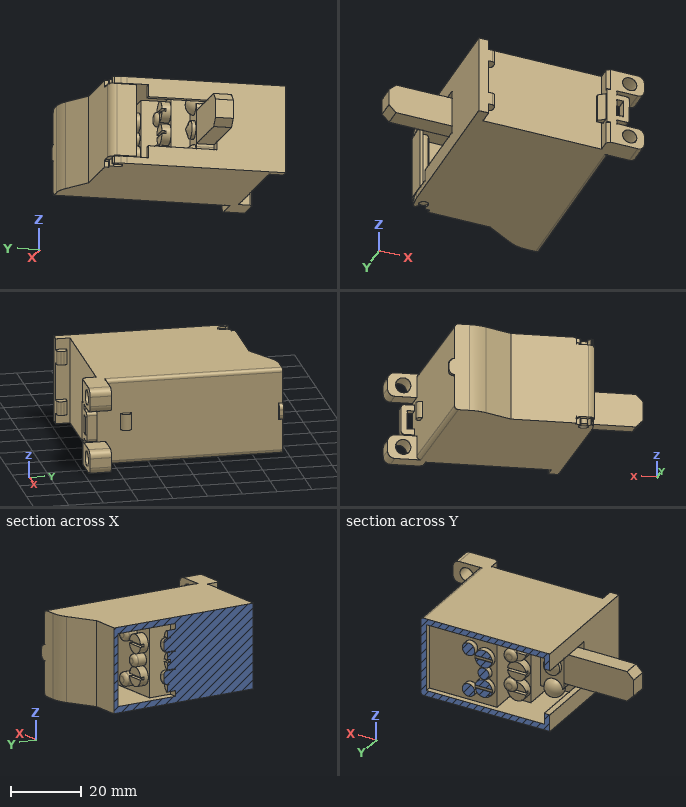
import cadquery as cq
import math


overall_length = 69.7
blade_reach = 19.2
case_length = 42.1
case_width = 25.2
case_height = 57.2
shoulder_height = 51.15
floor_height = 4.1
half_width = case_width / 2
corner_radius = 2.2
hump_start = 24.5
hump_angle = math.radians(30)
hump_radius = 10.1
back_radius = 1.1

foot_length = 3.0
hook_length = 2.15
hook_height = 3.0
hook_width = 4.05
hook_centre = 7.45
hook_radius = 1.05
lug_start = 39.1
lug_end = overall_length - blade_reach
lug_height = 6.2
lug_slot_half_width = 5.65
lug_corner_radius = 2.1
lug_bevel_length = 1.1
lug_bevel_depth = 0.85
lug_hole_diameter = 4.3
lug_hole_x = 46.0
lug_hole_z = 9.05

clip_width = 8.8
clip_end = 45.9
clip_corner_radius = 0.85
clip_window_length = 2.0
clip_window_width = 5.3
latch_tip = 37.15
latch_tip_height = 2.2
latch_slope_end = lug_start + lug_bevel_length

snap_length = 1.5
snap_width = 4.75
tab_thickness = 1.25
bump_bottom = 10.5
bump_height = 3.15

cavity_half_width = 10.6
front_wall = 1.8
cavity_end = 40.15
ceiling = 49.6
opening_bottom = 19.9
opening_step = 39.9
opening_half_width = 7.1

terrace_fronts = [3.5, 11.15, 18.1]
terrace_tops = [25.0, 30.5, 37.5]
front_terrace_radius = 2.1
front_terrace_half_width = 7.75

blade_height = 5.15
blade_width = 9.6
blade_chamfer = 2.15

terminal_height = 2.65
slot_width = 0.8
slot_depth = 1.1
pin_height = 3.8
pin_radius = 2.1
centre_pin_radius = 1.9
pin_dome_radius = 1.1

door_bottom = 43.3
door_thickness = 0.9
door_gap = 0.2
hinge_x = 3.0
hinge_y = 48.0
hinge_radius = 1.4
hinge_recess = 0.55
hinge_step = 50.05
knuckle_half_length = 1.7
notch_end = 5.7
rib_radius = 0.4


def box(x0, x1, y0, y1, z0, z1):
    return cq.Workplane("XY").box(x1 - x0, y1 - y0, z1 - z0, centered=False).translate((x0, y0, z0))


def centred_box(x0, x1, y0, y1, half):
    return box(x0, x1, y0, y1, -half, half)


def upright_cylinder(x, z, bottom, height, radius):
    """Cylinder standing along +Y."""
    base = cq.Plane(origin=(x, bottom, z), xDir=(1, 0, 0), normal=(0, 1, 0))
    return cq.Workplane(base).circle(radius).extrude(height)


def make_case():
    """Case body with its rounded front corner and the hump at the back."""
    hump_peak = hump_start + (case_height - shoulder_height) / math.tan(hump_angle)
    tangent = hump_radius * math.tan(hump_angle / 2)
    arc_start = (hump_peak - tangent * math.cos(hump_angle), case_height - tangent * math.sin(hump_angle))
    arc_end_x = hump_peak + tangent
    arc_middle = (
        arc_end_x - hump_radius * math.sin(hump_angle / 2),
        case_height - hump_radius * (1 - math.cos(hump_angle / 2)),
    )
    corner_bend = corner_radius * (1 - math.sqrt(0.5))
    body = (
        cq.Workplane("XY", origin=(0, 0, -half_width))
        .moveTo(0, floor_height)
        .lineTo(0, shoulder_height - corner_radius)
        .threePointArc((corner_bend, shoulder_height - corner_bend), (corner_radius, shoulder_height))
        .lineTo(hump_start, shoulder_height)
        .lineTo(*arc_start)
        .threePointArc(arc_middle, (arc_end_x, case_height))
        .lineTo(case_length, case_height)
        .lineTo(case_length, floor_height)
        .close()
        .extrude(case_width)
    )
    return body.faces(">X").edges("|Y").fillet(back_radius)


def make_front_foot():
    """Foot under the front wall with two rounded hooks."""
    foot = centred_box(0, foot_length, 0, floor_height, half_width)
    for z in (-hook_centre, hook_centre):
        hook = box(0, foot_length + hook_length, 0, hook_height, z - hook_width / 2, z + hook_width / 2)
        foot = foot.union(hook.edges(">X and |Z").fillet(hook_radius))
    return foot


def make_lugs():
    """Two drilled lugs joined by a web, bevelled along the lower front edge."""
    lugs = centred_box(lug_start, lug_end, 0, lug_height, half_width)
    lugs = lugs.cut(centred_box(case_length, lug_end, 0, lug_height, lug_slot_half_width))
    lugs = lugs.faces(">X").edges("|Y").fillet(lug_corner_radius)
    bevel = (
        cq.Workplane("XY", origin=(lug_start, 0, -half_width))
        .polyline([(0, 0), (lug_bevel_length, 0), (0, lug_bevel_depth)])
        .close()
        .extrude(case_width)
    )
    lugs = lugs.cut(bevel.cut(centred_box(lug_start, lug_end, 0, lug_height, lug_slot_half_width)))
    for z in (-lug_hole_z, lug_hole_z):
        lugs = lugs.cut(upright_cylinder(lug_hole_x, z, 0, lug_height, lug_hole_diameter / 2))
    return lugs


def make_clip():
    """Clip with a sloped latch in front and a windowed tongue behind."""
    clip = (
        cq.Workplane("XY", origin=(0, 0, -clip_width / 2))
        .polyline([
            (latch_tip, hook_height),
            (latch_tip, latch_tip_height),
            (latch_slope_end, 0),
            (clip_end, 0),
            (clip_end, hook_height),
        ])
        .close()
        .extrude(clip_width)
        .faces(">X").edges("|Y").fillet(clip_corner_radius)
    )
    window = centred_box(
        case_length, case_length + clip_window_length, 0, hook_height, clip_window_width / 2
    )
    return clip.cut(window)


def make_back_snaps():
    """Tab along the top edge and rounded bump low on the back face."""
    snap_end = case_length + snap_length
    tab = centred_box(
        case_length - back_radius, snap_end, case_height - tab_thickness, case_height, snap_width / 2
    )
    tab = tab.faces(">X").edges("|Y").fillet(snap_length)
    bump = (
        cq.Workplane("XY", origin=(case_length, bump_bottom, -snap_width / 2))
        .moveTo(0, 0)
        .threePointArc((snap_length, bump_height / 2), (0, bump_height))
        .close()
        .extrude(snap_width)
    )
    return tab.union(bump)


def make_cavity():
    """Space inside the case, stepped up over the terraces, and its T-shaped front opening."""
    cavity = centred_box(front_wall, cavity_end, opening_bottom, ceiling, cavity_half_width)
    terrace_ends = terrace_fronts[1:] + [cavity_end]
    for index, (front, top, end) in enumerate(zip(terrace_fronts, terrace_tops, terrace_ends)):
        half = front_terrace_half_width if index == 0 else cavity_half_width
        terrace = centred_box(front, end, opening_bottom, top, half)
        if index == 0:
            terrace = terrace.faces("<X").edges("|Y").fillet(front_terrace_radius)
        cavity = cavity.cut(terrace)
    lower_opening = centred_box(0, front_wall, opening_bottom, opening_step, opening_half_width)
    upper_opening = centred_box(0, front_wall, opening_step, ceiling, cavity_half_width)
    return cavity.union(lower_opening).union(upper_opening)


def make_blade():
    """Flat contact blade with a chamfered tip."""
    blade = centred_box(
        -blade_reach, terrace_fronts[0], opening_bottom, opening_bottom + blade_height, blade_width / 2
    )
    return blade.faces("<X").edges("|Y").chamfer(blade_chamfer)


def make_terminal(x, z, bottom, radius):
    """Round terminal with a slot across its top."""
    terminal = upright_cylinder(x, z, bottom, terminal_height, radius)
    top = bottom + terminal_height
    slot = box(x - radius, x + radius, top - slot_depth, top, z - slot_width / 2, z + slot_width / 2)
    return terminal.cut(slot)


def make_pin(x, z, bottom, radius):
    """Round pin with a domed top."""
    return upright_cylinder(x, z, bottom, pin_height, radius).faces(">Y").edges().fillet(pin_dome_radius)


def make_front_row(bottom):
    """Pointed screw between two low domes."""
    screw_x = 7.0
    screw_radius = 2.65
    rim_height = 1.1
    row_height = 2.4
    dome_z = 7.25
    dome_radius = 3.1
    row = upright_cylinder(screw_x, 0, bottom, rim_height, screw_radius)
    point = cq.Solid.makeCone(
        screw_radius, 0, row_height - rim_height,
        pnt=cq.Vector(screw_x, bottom + rim_height, 0), dir=cq.Vector(0, 1, 0),
    )
    row = row.union(cq.Workplane(point))
    for z in (-dome_z, dome_z):
        sphere_centre = (screw_x, bottom + row_height - dome_radius, z)
        row = row.union(cq.Workplane("XY").sphere(dome_radius).translate(sphere_centre))
    return row


def make_middle_row(bottom):
    """Three slotted terminals with two pins standing between them."""
    terminal_x = 14.2
    terminal_pitch = 6.5
    terminal_radius = 3.0
    pin_x = 16.0
    pin_z = 4.75
    row = make_terminal(terminal_x, 0, bottom, terminal_radius)
    for side in (-1, 1):
        row = row.union(make_terminal(terminal_x, side * terminal_pitch, bottom, terminal_radius))
    for side in (-1, 1):
        row = row.union(make_pin(pin_x, side * pin_z, bottom, pin_radius))
    return row


def make_back_row(bottom):
    """Two slotted terminals with a pin between them and two pins behind."""
    terminal_x = 21.6
    terminal_z = 4.8
    terminal_radius = 2.85
    pin_x = 26.5
    pin_z = 6.6
    row = make_pin(terminal_x, 0, bottom, centre_pin_radius)
    for side in (-1, 1):
        row = row.union(make_terminal(terminal_x, side * terminal_z, bottom, terminal_radius))
        row = row.union(make_pin(pin_x, side * pin_z, bottom, pin_radius))
    return row


def make_hinge_pocket():
    """Hinge recess in the side walls: a corner cut-out over a round pin hole."""
    lip_bottom = 46.15
    lip_end = 1.3
    neck_bottom = 49.1
    neck_half_width = 1.0
    shoulder_start = 4.45
    profile = (
        cq.Workplane("XY", origin=(0, 0, -half_width))
        .polyline([
            (0, lip_bottom),
            (0.2, 47.8),
            (0.5, 49.55),
            (0.9, hinge_step),
            (lip_end, hinge_step),
            (hinge_x - neck_half_width, neck_bottom),
            (hinge_x + neck_half_width, neck_bottom),
            (shoulder_start, hinge_step),
            (notch_end, hinge_step),
            (notch_end, shoulder_height),
            (0, shoulder_height),
        ])
        .close()
        .extrude(case_width)
    )
    hole = cq.Workplane("XY", origin=(hinge_x, hinge_y, -half_width)).circle(hinge_radius).extrude(case_width)
    inside = centred_box(0, notch_end, lip_bottom - hinge_radius, shoulder_height, cavity_half_width)
    return profile.union(hole).cut(inside)


def make_door():
    """Door panel closing the upper part of the opening, with its hinge knuckle and pin."""
    panel = centred_box(0, door_thickness, door_bottom, ceiling, cavity_half_width - door_gap)
    panel = panel.intersect(make_case())
    knuckle = centred_box(
        hinge_x - knuckle_half_length, hinge_x + knuckle_half_length, hinge_y, ceiling, cavity_half_width
    )
    pin_half_length = half_width - hinge_recess
    pin = cq.Workplane("XY", origin=(hinge_x, hinge_y, -pin_half_length)).circle(hinge_radius)
    return panel.union(knuckle).union(pin.extrude(2 * pin_half_length))


def make_notch_ribs():
    """Small rounded rib at the end of the hinge pocket on each side."""
    rib_height = shoulder_height - hinge_step
    ribs = cq.Workplane("XY")
    for z in (-cavity_half_width, cavity_half_width):
        ribs = ribs.add(upright_cylinder(notch_end - rib_radius, z, hinge_step, rib_height, rib_radius))
    return ribs.combine()


front_top, middle_top, back_top = terrace_tops

result = make_case()
for addition in (make_front_foot(), make_lugs(), make_clip(), make_back_snaps()):
    result = result.union(addition)

result = result.cut(make_cavity()).cut(make_hinge_pocket())

inner_parts = [
    make_blade(),
    make_door(),
    make_notch_ribs(),
    make_front_row(front_top),
    make_middle_row(middle_top),
    make_back_row(back_top),
]
for addition in inner_parts:
    result = result.union(addition)